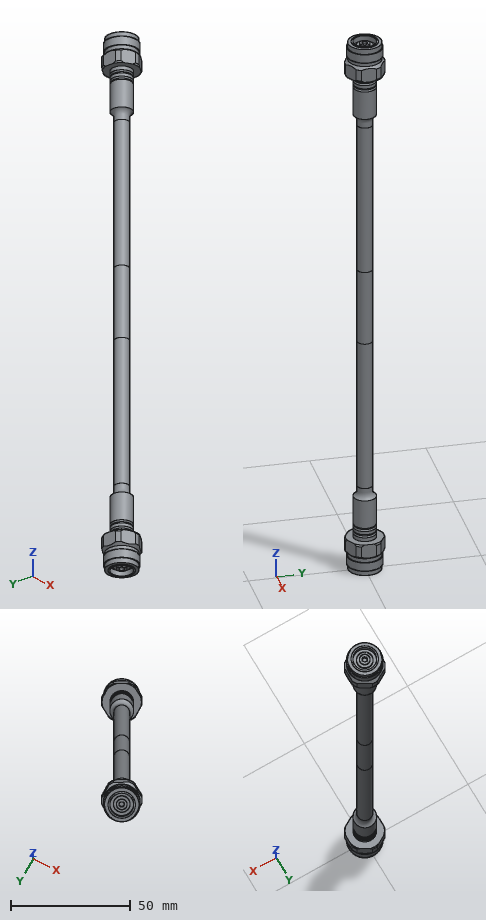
import cadquery as cq
import math

TOTAL_LENGTH = 248.3
CONNECTOR_FACE = TOTAL_LENGTH / 2

HEX_SIDES = 6
HEX_FLATS = 16.0
CORNER_R = 17.1 / 2
NUT_BOTTOM = 109.0
NUT_FLOOR = 111.7
HEX_TOP = 116.0
MOUTH_PROJECTION = 0.2
NUT_FACE = CONNECTOR_FACE - MOUTH_PROJECTION
RIM_R = 7.2
BAND_R = 7.7
BAND_BOTTOM = 117.7
BAND_TOP = 121.7
TOP_BEVEL_DROP = 1.2
BOTTOM_BEVEL_RISE = 0.7
BOTTOM_BEVEL_WIDTH = 0.37

CABLE_R = 3.35
CABLE_END = 85.0
MIDDLE_HALF = 17.0

BODY_R = 5.0
GROOVE_DEPTH = 0.37
GROOVE_WIDTH = 1.5
GROOVE_CENTRES = (103.5, 106.5)
FLARE_BOTTOM = 87.1
FLARE_TOP = 89.9
MOUTH_R = 5.7
MOUTH_BORE_R = 5.0
MOUTH_FLOOR = 121.7
INSULATOR_R = 3.5
INSULATOR_TOP = 122.6
CONTACT_R = 2.2
CONTACT_TOP = 123.5
CONTACT_BORE_R = 1.12
CONTACT_BORE_DEPTH = 2.0


def revolve_about_z(profile):
    """Turn a closed profile, drawn as radius against height, about Z."""
    return profile.revolve(360, (0, 0, 0), (0, 1, 0))


def make_nut():
    """Upper nut: a hexagon with bevelled corners, flats facing X, below a round banded rim."""
    bevel_bottom_r = CORNER_R - BOTTOM_BEVEL_WIDTH
    outline = [
        (BODY_R, NUT_BOTTOM),
        (bevel_bottom_r, NUT_BOTTOM),
        (CORNER_R, NUT_BOTTOM + BOTTOM_BEVEL_RISE),
        (CORNER_R, HEX_TOP - TOP_BEVEL_DROP),
        (RIM_R, HEX_TOP),
        (RIM_R, BAND_BOTTOM),
        (BAND_R, BAND_BOTTOM),
        (BAND_R, BAND_TOP),
        (RIM_R, BAND_TOP),
        (RIM_R, NUT_FACE),
        (MOUTH_R, NUT_FACE),
        (MOUTH_R, NUT_FLOOR),
        (BODY_R, NUT_FLOOR),
    ]
    turned = revolve_about_z(cq.Workplane("XZ").polyline(outline).close())
    hexagon = (
        cq.Workplane("XY", origin=(0, 0, NUT_BOTTOM))
        .polygon(HEX_SIDES, HEX_FLATS / math.cos(math.pi / HEX_SIDES))
        .extrude(NUT_FACE - NUT_BOTTOM)
        .rotate((0, 0, 0), (0, 0, 1), 180 / HEX_SIDES)
    )
    return turned.intersect(hexagon)


def flare_middle():
    """Point halfway along the hollow arc that leaves the cable wall upright and widens to the body."""
    spread = BODY_R - CABLE_R
    height = FLARE_TOP - FLARE_BOTTOM
    arc_r = (spread**2 + height**2) / (2 * spread)
    half_angle = math.asin(height / arc_r) / 2
    return (
        CABLE_R + arc_r * (1 - math.cos(half_angle)),
        FLARE_BOTTOM + arc_r * math.sin(half_angle),
    )


def cut_groove(body, centre):
    """Cut a V-shaped groove round the body."""
    outline = [
        (BODY_R, centre - GROOVE_WIDTH / 2),
        (BODY_R - GROOVE_DEPTH, centre),
        (BODY_R, centre + GROOVE_WIDTH / 2),
    ]
    return body.cut(revolve_about_z(cq.Workplane("XZ").polyline(outline).close()))


def make_body():
    """Upper connector body: grooved sleeve flaring from the cable, with a stepped socket on top."""
    bore_floor = CONTACT_TOP - CONTACT_BORE_DEPTH
    profile = (
        cq.Workplane("XZ")
        .moveTo(0, CABLE_END)
        .lineTo(CABLE_R, CABLE_END)
        .lineTo(CABLE_R, FLARE_BOTTOM)
        .threePointArc(flare_middle(), (BODY_R, FLARE_TOP))
        .lineTo(BODY_R, NUT_FLOOR)
        .lineTo(MOUTH_R, NUT_FLOOR)
        .lineTo(MOUTH_R, CONNECTOR_FACE)
        .lineTo(MOUTH_BORE_R, CONNECTOR_FACE)
        .lineTo(MOUTH_BORE_R, MOUTH_FLOOR)
        .lineTo(INSULATOR_R, MOUTH_FLOOR)
        .lineTo(INSULATOR_R, INSULATOR_TOP)
        .lineTo(CONTACT_R, INSULATOR_TOP)
        .lineTo(CONTACT_R, CONTACT_TOP)
        .lineTo(CONTACT_BORE_R, CONTACT_TOP)
        .lineTo(CONTACT_BORE_R, bore_floor)
        .lineTo(0, bore_floor)
        .close()
    )
    body = revolve_about_z(profile)
    for centre in GROOVE_CENTRES:
        body = cut_groove(body, centre)
    return body


def make_cable_section(bottom, top):
    """One plain length of cable between two heights."""
    return cq.Workplane("XY", origin=(0, 0, bottom)).circle(CABLE_R).extrude(top - bottom)


nuts = []
connector_bodies = []
for at_lower_end in (False, True):
    nut = make_nut()
    body = make_body()
    if at_lower_end:
        nut = nut.mirror("XY")
        body = body.mirror("XY")
    nuts.append(nut.val())
    connector_bodies.append(body.val())

section_ends = [-CABLE_END, -MIDDLE_HALF, MIDDLE_HALF, CABLE_END]
cable_sections = []
for bottom, top in zip(section_ends, section_ends[1:]):
    cable_sections.append(make_cable_section(bottom, top).val())

result = cq.Compound.makeCompound([*nuts, *connector_bodies, *cable_sections])